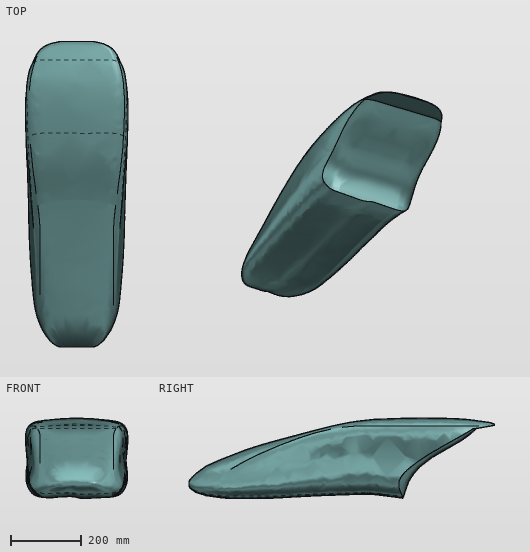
import cadquery as cq

LENGTH = 868.44
HEIGHT = 228.39
MAX_HALF_WIDTH = 290.24 / 2
NOSE_Y = -LENGTH / 2
TAIL_Y = LENGTH / 2
ROOF_Z = HEIGHT / 2
FLOOR_Z = -HEIGHT / 2
WIDEST = 144.4

FLANK_UPPER_DEPTH = 0.25
WAIST_DEPTH = 0.45
FLANK_LOWER_DEPTH = 0.77
KEEL_WIDTH = 0.87
KEEL_DEPTH = 0.95
BOTTOM_QUARTER_WIDTH = 0.5
CROWN_QUARTER_WIDTH = 0.65
CROWN_QUARTER_DROP = 0.28

STATIONS = [
    (NOSE_Y, -67, -77, 40, 35, -69, 1.0, 1.02),
    (-430, -59, -85, 57, 49, -64, 1.0, 1.02),
    (-415, -44, -95, 75, 64, -54, 0.98, 1.02),
    (-385, -22, -104, 96, 80, -38, 0.96, 1.0),
    (-340, -2, -110, 114, 92, -26, 0.93, 0.97),
    (-270, 25, -111.5, 125, 100, 0, 0.90, 0.93),
    (-180, 52, -110, 132, 106, 34, 0.89, 0.91),
    (-90, 76, -105, 136, 111, 64, 0.91, 0.91),
    (0, 98, -102, 138, 116, 87, 0.95, 0.93),
    (90, 111, -101, 141, 127, 92, 0.98, 0.955),
    (180, ROOF_Z, -112, WIDEST, 133, 93, 1.0, 0.965),
    (270, ROOF_Z, FLOOR_Z, WIDEST, 135, 93, 1.0, 0.965),
    (340, 112, FLOOR_Z, 136, 129, 92, 1.0, 0.97),
    (385, 108, FLOOR_Z, 121, 116, 92, 1.0, 0.97),
    (412, 104, FLOOR_Z, 102, 100, 93, 1.0, 0.97),
    (428, 100, FLOOR_Z, 75, 74, 93, 1.0, 0.97),
    (TAIL_Y, 97, FLOOR_Z, 51, 49, 93, 1.0, 0.97),
]

TAIL_RIM = (TAIL_Y, 93.5)
TAIL_UNDERSIDE_END = (382, 84)
REAR_FACE = [(292, 23), (222, -24), (190, -66), (179, -98)]
LIP_TIP = (171, FLOOR_Z - 5)
REAR_ROUNDING = [(0, 0), (95, 0), (120, 6), (138, 20), (160, 46)]
CUT_MARGIN = 20

PANEL_INNER_X = 95
PANEL_REAR_Y = 400
PANEL_TOP_Z = 92
PANEL_SEAM_START = (70, PANEL_TOP_Z)
PANEL_SEAM = [(-30, 83), (-195, 29), (-300, -22), (-344, -66), (-318, -101)]

CROSS_SEAM_MID_Y = -16
CROSS_SEAM_SIDE_Y = -44
CROSS_SEAM_BASE_Z = 80


def section(y, crown, bottom, half_width, shoulder_x, shoulder_z, upper_ratio, waist_ratio):
    """Smooth closed cross-section with a crowned top, waisted flanks and a flattish bottom."""
    depth = shoulder_z - bottom
    crown_rise = crown - shoulder_z
    right_side = [
        (shoulder_x * CROWN_QUARTER_WIDTH, crown - crown_rise * CROWN_QUARTER_DROP),
        (shoulder_x, shoulder_z),
        (half_width * upper_ratio, shoulder_z - depth * FLANK_UPPER_DEPTH),
        (half_width * waist_ratio, shoulder_z - depth * WAIST_DEPTH),
        (half_width, shoulder_z - depth * FLANK_LOWER_DEPTH),
        (half_width * KEEL_WIDTH, shoulder_z - depth * KEEL_DEPTH),
        (half_width * BOTTOM_QUARTER_WIDTH, bottom),
    ]
    left_side = [(-x, z) for x, z in reversed(right_side)]
    outline = [(0, bottom)] + left_side + [(0, crown)] + right_side
    points = [cq.Vector(x, y, z) for x, z in outline]
    return cq.Wire.assembleEdges([cq.Edge.makeSpline(points, periodic=True)])


def make_body():
    """Lofted body, still full height under the tail."""
    wires = [section(*station) for station in STATIONS]
    return cq.Workplane(obj=cq.Solid.makeLoft(wires))


def rear_profile(x, forward_shift):
    """Outline, at one x, of the space behind and below the rear face."""
    back = TAIL_Y + REAR_ROUNDING[-1][1] + CUT_MARGIN
    below = FLOOR_Z - CUT_MARGIN
    return (
        cq.Workplane("YZ", origin=(x, -forward_shift, 0))
        .moveTo(back, TAIL_RIM[1])
        .lineTo(*TAIL_RIM)
        .lineTo(*TAIL_UNDERSIDE_END)
        .spline(REAR_FACE, includeCurrent=True)
        .lineTo(*LIP_TIP)
        .lineTo(LIP_TIP[0], below)
        .lineTo(back, below)
        .close()
        .val()
    )


def make_rear_cutter():
    """Loft of the rear profiles from one side to the other."""
    left = [rear_profile(-x, shift) for x, shift in reversed(REAR_ROUNDING[1:])]
    right = [rear_profile(x, shift) for x, shift in REAR_ROUNDING]
    return cq.Workplane(obj=cq.Solid.makeLoft(left + right))


def make_side_panel_tool():
    """Two prisms, one per flank, bounded by the side panel seam."""
    below = FLOOR_Z - CUT_MARGIN
    width = MAX_HALF_WIDTH + CUT_MARGIN - PANEL_INNER_X
    right = (
        cq.Workplane("YZ", origin=(PANEL_INNER_X, 0, 0))
        .moveTo(PANEL_REAR_Y, PANEL_TOP_Z)
        .lineTo(*PANEL_SEAM_START)
        .spline(PANEL_SEAM, includeCurrent=True, tangents=[(-1, 0), (1, -0.7)])
        .lineTo(PANEL_SEAM[-1][0], below)
        .lineTo(PANEL_REAR_Y, below)
        .close()
        .extrude(width)
    )
    return right.union(right.mirror("YZ"))


def make_rear_top_tool():
    """Block over the rear top, its front edge arched along the cross seam."""
    back = TAIL_Y + CUT_MARGIN
    return (
        cq.Workplane("XY", origin=(0, 0, CROSS_SEAM_BASE_Z))
        .moveTo(-MAX_HALF_WIDTH, back)
        .lineTo(-MAX_HALF_WIDTH, CROSS_SEAM_SIDE_Y)
        .threePointArc((0, CROSS_SEAM_MID_Y), (MAX_HALF_WIDTH, CROSS_SEAM_SIDE_Y))
        .lineTo(MAX_HALF_WIDTH, back)
        .close()
        .extrude(ROOF_Z + CUT_MARGIN - CROSS_SEAM_BASE_Z)
    )


def with_seam(body, tool):
    """Imprint a seam by separating the material inside the tool and joining it again."""
    outside = body.cut(tool, clean=False)
    inside = body.intersect(tool, clean=False)
    return outside.union(inside, clean=False)


body = make_body().cut(make_rear_cutter())
side_panels = make_side_panel_tool()
rear_top = make_rear_top_tool().cut(side_panels)
result = with_seam(with_seam(body, side_panels), rear_top)